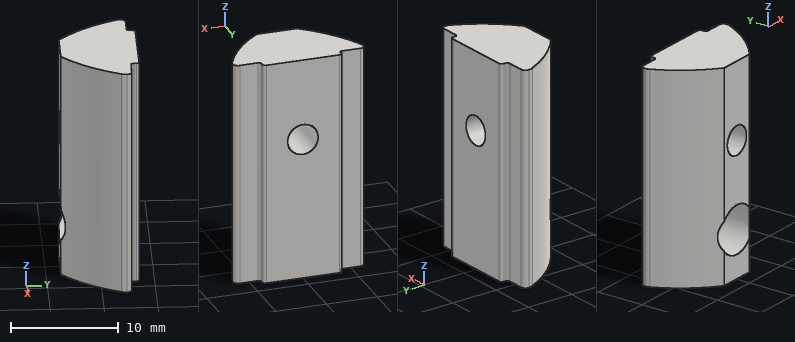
import cadquery as cq
import math

length = 22.0
depth = 7.2
width = 12.9

flat_width = 4.0
rib_width = 7.8
rib_height = 0.8
flank_mid_x = 4.11
flank_mid_y = 2.0
shoulder_radius = 0.5
blend_radius = 1.08
blend_angle = math.radians(28)
rib_radius = 0.3
rib_root_radius = 0.26

through_diameter = 3.0
through_height = 14.0
blind_diameter = 5.0
blind_height = 5.0
blind_depth = 4.0
drill_angle = 118.0

shoulder_y = depth - rib_height


def round_upright_edges(body, edge_x, y, radius):
    """Round the mirrored pair of lengthwise edges at the given section point."""
    for x in (-edge_x, edge_x):
        body = body.edges(cq.selectors.NearestToPointSelector((x, y, length / 2))).fillet(radius)
    return body


def make_body():
    half_flat = flat_width / 2
    half_rib = rib_width / 2
    half_width = width / 2
    side_y = shoulder_y - shoulder_radius

    def blend_point(angle):
        """Point on the right-hand blend after turning the blend by an angle."""
        x = half_width - blend_radius * (1 - math.cos(angle))
        return x, side_y - blend_radius * math.sin(angle)

    end_x, end_y = blend_point(blend_angle)
    mid_x, mid_y = blend_point(blend_angle / 2)
    shoulder_x = half_width - shoulder_radius
    corner_offset = shoulder_radius * math.sqrt(0.5)
    corner_x = shoulder_x + corner_offset
    corner_y = side_y + corner_offset

    body = (
        cq.Workplane("XY")
        .moveTo(-half_flat, 0)
        .lineTo(half_flat, 0)
        .threePointArc((flank_mid_x, flank_mid_y), (end_x, end_y))
        .threePointArc((mid_x, mid_y), (half_width, side_y))
        .threePointArc((corner_x, corner_y), (shoulder_x, shoulder_y))
        .lineTo(half_rib, shoulder_y)
        .lineTo(half_rib, depth)
        .lineTo(-half_rib, depth)
        .lineTo(-half_rib, shoulder_y)
        .lineTo(-shoulder_x, shoulder_y)
        .threePointArc((-corner_x, corner_y), (-half_width, side_y))
        .threePointArc((-mid_x, mid_y), (-end_x, end_y))
        .threePointArc((-flank_mid_x, flank_mid_y), (-half_flat, 0))
        .close()
        .extrude(length)
    )
    body = round_upright_edges(body, half_rib, depth, rib_radius)
    return round_upright_edges(body, half_rib, shoulder_y, rib_root_radius)


def make_through_hole():
    return cq.Workplane(
        cq.Solid.makeCylinder(
            through_diameter / 2, depth, cq.Vector(0, 0, through_height), cq.Vector(0, 1, 0)
        )
    )


def make_blind_hole():
    """Straight bore with a conical drill point, revolved about its own axis."""
    radius = blind_diameter / 2
    point_depth = radius / math.tan(math.radians(drill_angle / 2))
    return (
        cq.Workplane("XY", origin=(0, 0, blind_height))
        .lineTo(radius, 0)
        .lineTo(radius, blind_depth)
        .lineTo(0, blind_depth + point_depth)
        .close()
        .revolve(360, (0, 0, 0), (0, 1, 0))
    )


result = make_body().cut(make_through_hole()).cut(make_blind_hole())